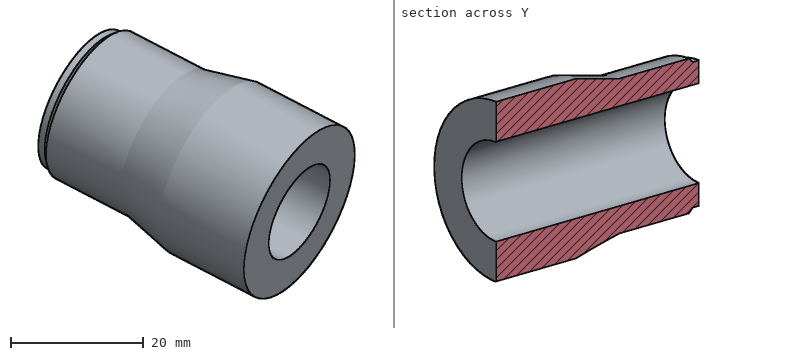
import cadquery as cq

bore_diameter = 16.0
nose_diameter = 23.5
neck_diameter = 25.0
body_diameter = 29.0

total_length = 40.0
nose_length = 1.2
chamfer_length = 0.8
neck_length = 13.7
body_length = 15.7

nose_radius = nose_diameter / 2
neck_radius = neck_diameter / 2
body_radius = body_diameter / 2

neck_start = nose_length + chamfer_length
neck_end = neck_start + neck_length
body_start = total_length - body_length


def make_outer_body():
    """Solid of revolution about X: nose, chamfer, neck, cone and body."""
    return (
        cq.Workplane("XZ")
        .moveTo(0, 0)
        .lineTo(0, nose_radius)
        .lineTo(nose_length, nose_radius)
        .lineTo(neck_start, neck_radius)
        .lineTo(neck_end, neck_radius)
        .lineTo(body_start, body_radius)
        .lineTo(total_length, body_radius)
        .lineTo(total_length, 0)
        .close()
        .revolve(360, (0, 0, 0), (1, 0, 0))
    )


def make_bore():
    """Plain cylinder running the full length of the sleeve."""
    return cq.Workplane("YZ").circle(bore_diameter / 2).extrude(total_length)


result = make_outer_body().cut(make_bore())